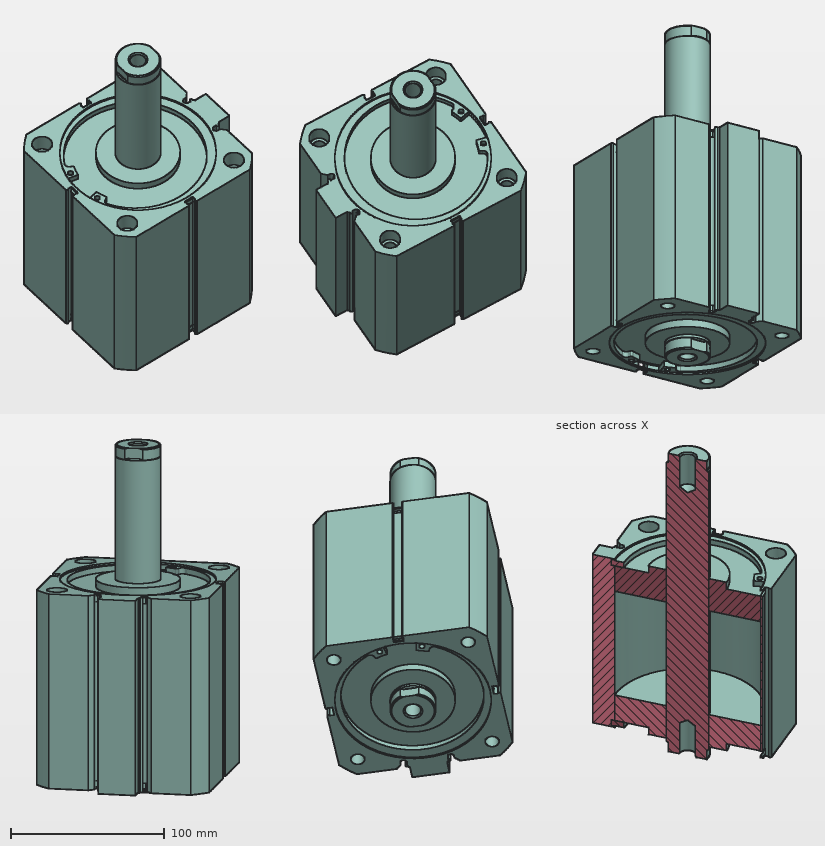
import cadquery as cq
import math


width = 115.0
length = 130.0
half_width = width / 2
half_length = length / 2
corner_diameter = 149.0
bore_diameter = 102.0

hole_pitch = 89.0
hole_diameter = 9.0
counterbore_diameter = 13.2
counterbore_depth = 12.0

slot_width = 6.7
slot_depth = 4.6
lip_radius = 0.75
lip_start = 0.3

rail_width = 24.7
rail_height = 9.0
flank_groove_x = 15.6
flank_groove_radius = 2.1
flank_groove_depth = 4.8
flank_groove_mouth = 3.3
rail_shoulder_rise = 0.5
rail_shoulder_drop = 1.2
rail_bead_radius = 1.0
rail_bead_x = 14.0
rail_bead_depth = 2.0

ring_thickness = 4.0
ring_recess = 1.2
ring_diameter = 106.3
ring_inner_diameter = 93.4
ring_inner_offset = 2.3
ring_half_gap = 12.75
lug_end_angle = 23.7
lug_inner_radius = 43.4
lug_root_fillet = 3.0
lug_corner_fillet = 1.0
lug_hole_diameter = 3.5
lug_hole_radius = 47.3
lug_hole_angle = 17.2

cover_thickness = 20.0
cover_boss_diameter = 55.0
cover_face = half_length - ring_recess - ring_thickness

rod_diameter = 30.0
rod_radius = rod_diameter / 2
upper_reach = 90.0
lower_reach = 10.0
rod_top = half_length + upper_reach
rod_bottom = -half_length - lower_reach
head_length = 8.0
head_diameter = 29.6
head_chamfer = 0.8
shoulder_chamfer = 1.0
across_flats = 27.0
tap_drill_diameter = 10.5
tap_depth = 24.0
tap_chamfer = 1.0
drill_point_angle = 118.0


def polar(radius, angle):
    """Point at an angle measured in degrees from the -Y direction towards +X."""
    turn = math.radians(angle)
    return radius * math.sin(turn), -radius * math.cos(turn)


def prism(sketch, height=length):
    """Extrude a closed outline symmetrically about the XY plane."""
    return sketch.extrude(height / 2, both=True)


def make_slot():
    """Lipped slot tool for the -Y side, with its mouth on the housing face."""
    side = slot_width / 2
    face = -half_width
    lip_bottom = face + lip_start
    lip_middle = lip_bottom + lip_radius
    lip_top = lip_middle + lip_radius
    outline = (
        cq.Workplane("XY")
        .moveTo(-side, face)
        .lineTo(side, face)
        .lineTo(side, lip_bottom)
        .threePointArc((side - lip_radius, lip_middle), (side, lip_top))
        .lineTo(side, face + slot_depth)
        .lineTo(-side, face + slot_depth)
        .lineTo(-side, lip_top)
        .threePointArc((-side + lip_radius, lip_middle), (-side, lip_bottom))
        .close()
    )
    return prism(outline)


def make_flank_groove():
    """Groove tool for the +X flank of the rail: round bottom, open mouth, bead on the rail side."""
    inner = rail_width / 2
    left = flank_groove_x - flank_groove_radius
    right = flank_groove_x + flank_groove_radius
    bottom = half_width - flank_groove_depth
    mouth_end = right + flank_groove_mouth
    outline = (
        cq.Workplane("XY")
        .moveTo(left, bottom)
        .threePointArc((flank_groove_x, bottom - flank_groove_radius), (right, bottom))
        .lineTo(right, half_width - flank_groove_mouth)
        .lineTo(mouth_end, half_width)
        .lineTo(mouth_end, half_width + rail_shoulder_rise)
        .lineTo(inner, half_width + rail_shoulder_rise)
        .lineTo(left, half_width - rail_shoulder_drop)
        .close()
    )
    bead = cq.Workplane("XY").center(rail_bead_x, half_width - rail_bead_depth).circle(rail_bead_radius)
    return prism(outline).cut(prism(bead))


def make_housing():
    body = prism(cq.Workplane("XY").rect(width, width))
    body = body.intersect(prism(cq.Workplane("XY").circle(corner_diameter / 2)))

    rail_root = half_width - slot_depth
    rail = cq.Workplane("XY").center(0, (rail_root + half_width + rail_height) / 2)
    body = body.union(prism(rail.rect(rail_width, half_width + rail_height - rail_root)))

    body = body.cut(prism(cq.Workplane("XY").circle(bore_diameter / 2)))

    body = (
        body.faces(">Z")
        .workplane(origin=(0, 0, half_length))
        .rect(hole_pitch, hole_pitch, forConstruction=True)
        .vertices()
        .cboreHole(hole_diameter, counterbore_diameter, counterbore_depth)
    )

    slot = make_slot()
    for angle in (-90, 0, 90):
        body = body.cut(slot.rotate((0, 0, 0), (0, 0, 1), angle))

    flank_groove = make_flank_groove()
    body = body.cut(flank_groove).cut(flank_groove.mirror("YZ"))

    ring_groove = (
        cq.Workplane("XY")
        .workplane(offset=cover_face)
        .circle(ring_diameter / 2)
        .extrude(ring_thickness)
    )
    return body.cut(ring_groove).cut(ring_groove.mirror("XY"))


def make_lug():
    """Lug on the +X side of the ring gap, a sector that reaches into the ring."""
    root_radius = bore_diameter / 2
    middle_angle = (ring_half_gap + lug_end_angle) / 2
    return (
        cq.Workplane("XY")
        .moveTo(*polar(lug_inner_radius, ring_half_gap))
        .threePointArc(polar(lug_inner_radius, middle_angle), polar(lug_inner_radius, lug_end_angle))
        .lineTo(*polar(root_radius, lug_end_angle))
        .threePointArc(polar(root_radius, middle_angle), polar(root_radius, ring_half_gap))
        .close()
        .extrude(ring_thickness)
    )


def lug_side_edge(radius):
    """Selector for the upright edge on the lug's outer side that lies nearest to a radius."""
    x, y = polar(radius, lug_end_angle)
    return cq.selectors.NearestToPointSelector((x, y, ring_thickness / 2))


def make_ring():
    """Upper retaining ring, thickest opposite its gap."""
    ring = cq.Workplane("XY").circle(ring_diameter / 2).extrude(ring_thickness)
    opening = cq.Workplane("XY").center(0, -ring_inner_offset).circle(ring_inner_diameter / 2)
    ring = ring.cut(opening.extrude(ring_thickness))

    gap = (
        cq.Workplane("XY")
        .polyline([(0, 0), polar(ring_diameter, -ring_half_gap), polar(ring_diameter, ring_half_gap)])
        .close()
        .extrude(ring_thickness)
    )
    half_space = cq.Workplane("XY").rect(ring_diameter, 2 * ring_diameter).extrude(ring_thickness)
    half_ring = ring.cut(gap).intersect(half_space.translate((ring_diameter / 2, 0, 0)))
    half_ring = half_ring.union(make_lug())

    root_radius = (ring_inner_diameter / 2) + ring_inner_offset
    half_ring = half_ring.edges("|Z").edges(lug_side_edge(root_radius)).fillet(lug_root_fillet)
    half_ring = half_ring.edges("|Z").edges(lug_side_edge(lug_inner_radius)).fillet(lug_corner_fillet)

    hole = cq.Workplane("XY").center(*polar(lug_hole_radius, lug_hole_angle))
    half_ring = half_ring.cut(hole.circle(lug_hole_diameter / 2).extrude(ring_thickness))
    return half_ring.union(half_ring.mirror("YZ")).translate((0, 0, cover_face))


def make_cover():
    """Upper end cover: a disc under the ring, with a boss level with the housing end."""
    disc = cq.Workplane("XY").workplane(offset=cover_face).circle(bore_diameter / 2).extrude(-cover_thickness)
    boss = cq.Workplane("XY").workplane(offset=cover_face).circle(cover_boss_diameter / 2)
    cover = disc.union(boss.extrude(half_length - cover_face))
    return cover.cut(prism(cq.Workplane("XY").circle(rod_radius)))


def make_rod_half(end):
    """Rod from the XY plane up to a height, ending in a wrench head with a tapped hole."""
    shoulder = end - head_length
    shank = (
        cq.Workplane("XY")
        .circle(rod_radius)
        .extrude(shoulder + shoulder_chamfer)
        .faces(">Z")
        .chamfer(shoulder_chamfer)
    )
    head = (
        cq.Workplane("XY")
        .workplane(offset=shoulder)
        .circle(head_diameter / 2)
        .extrude(head_length)
        .faces(">Z")
        .chamfer(head_chamfer)
    )
    flats = cq.Workplane("XY").rect(rod_diameter, across_flats).extrude(end)

    drill_radius = tap_drill_diameter / 2
    point_height = drill_radius / math.tan(math.radians(drill_point_angle / 2))
    tapped_hole = (
        cq.Workplane("XZ")
        .moveTo(0, end)
        .lineTo(drill_radius + tap_chamfer, end)
        .lineTo(drill_radius, end - tap_chamfer)
        .lineTo(drill_radius, end - tap_depth)
        .lineTo(0, end - tap_depth - point_height)
        .close()
        .revolve(360, (0, 0), (0, 1))
    )
    return shank.union(head.intersect(flats)).cut(tapped_hole)


def make_rod():
    return make_rod_half(rod_top).union(make_rod_half(-rod_bottom).mirror("XY"))


housing = make_housing()
rod = make_rod()
upper_cover = make_cover()
lower_cover = upper_cover.mirror("XY")
upper_ring = make_ring()
lower_ring = upper_ring.mirror("XY")

result = cq.Compound.makeCompound([
    housing.val(),
    rod.val(),
    upper_cover.val(),
    lower_cover.val(),
    upper_ring.val(),
    lower_ring.val(),
])